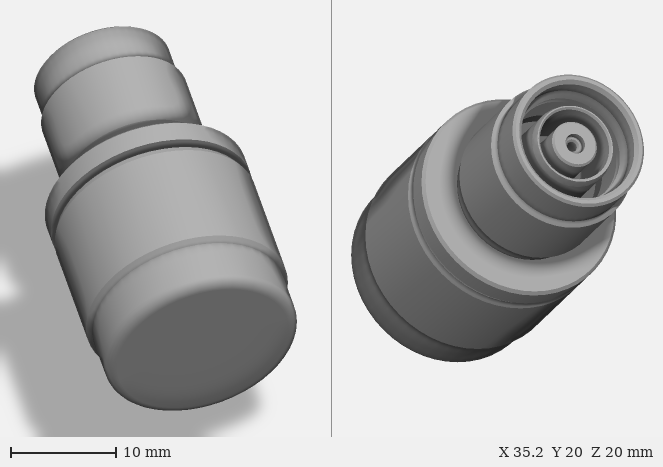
import cadquery as cq
import math


total_length = 35.2
nose_radius = 6.75
nose_chamfer = 0.25
sleeve_radius = 7.25
sleeve_start = 4.45
sleeve_end = 12.5
sleeve_chamfer = sleeve_radius - nose_radius
sleeve_lead_length = 0.4
neck_fillet = 0.85

body_radius = 10.0
flange_start = 15.05
flange_end = 17.45
flange_chamfer = 0.3
groove_radius = 8.8
body_start = 18.15
body_lead_length = 0.65
body_lead_depth = 0.3
body_end = 29.65
tail_radius = 9.55
tail_start = 30.2
tail_fillet = 1.0

socket_mouth_radius = 6.15
socket_radius = 5.8
socket_mouth_chamfer = socket_mouth_radius - socket_radius
socket_cone_start = 2.0
socket_cone_end = 2.8
socket_throat_radius = 5.3
socket_depth = 9.0
thread_groove_count = 5
thread_pitch = 0.9
thread_root_radius = 5.85

tube_front = 1.0
tube_radius = 4.07
tube_rim_radius = 3.87
tube_nose_length = 0.9
tube_bore_radius = 3.55
tube_inner_chamfer = 0.2

shoulder_front = 8.0
shoulder_chamfer = 0.2
insulator_radius = 2.3
insulator_front = tube_front
insulator_chamfer = 0.2

contact_radius = 1.0
contact_front = 1.65
contact_chamfer = 0.1
contact_hole_radius = 0.5
contact_countersink = 0.2
contact_hole_depth = 3.0
drill_tip_angle = 118


def turned(profile):
    """Revolve a closed (x, radius) profile about the X axis."""
    return profile.close().revolve(360, (0, 0, 0), (1, 0, 0))


def cylinder(start, end, radius):
    return turned(
        cq.Workplane("XY").moveTo(start, 0).lineTo(start, radius).lineTo(end, radius).lineTo(end, 0)
    )


def chamfered_cylinder(start, end, radius, chamfer):
    """Solid cylinder whose front edge has an equal-leg chamfer."""
    return turned(
        cq.Workplane("XY")
        .moveTo(start, 0)
        .lineTo(start, radius - chamfer)
        .lineTo(start + chamfer, radius)
        .lineTo(end, radius)
        .lineTo(end, 0)
    )


def countersunk_hole(start, end, radius, countersink):
    """Cutter for a hole whose mouth widens by an equal-leg countersink."""
    return turned(
        cq.Workplane("XY")
        .moveTo(start, 0)
        .lineTo(start, radius + countersink)
        .lineTo(start + countersink, radius)
        .lineTo(end, radius)
        .lineTo(end, 0)
    )


def outer_body():
    return turned(
        cq.Workplane("XY")
        .moveTo(0, 0)
        .lineTo(0, nose_radius - nose_chamfer)
        .lineTo(nose_chamfer, nose_radius)
        .lineTo(sleeve_start - sleeve_lead_length, nose_radius)
        .lineTo(sleeve_start, sleeve_radius)
        .lineTo(sleeve_end, sleeve_radius)
        .lineTo(sleeve_end + sleeve_chamfer, nose_radius)
        .lineTo(flange_start - neck_fillet, nose_radius)
        .tangentArcPoint((flange_start, nose_radius - neck_fillet), relative=False)
        .lineTo(flange_start, body_radius - flange_chamfer)
        .lineTo(flange_start + flange_chamfer, body_radius)
        .lineTo(flange_end, body_radius)
        .lineTo(flange_end, groove_radius)
        .lineTo(body_start, groove_radius)
        .lineTo(body_start, body_radius - body_lead_depth)
        .lineTo(body_start + body_lead_length, body_radius)
        .lineTo(body_end, body_radius)
        .lineTo(tail_start, tail_radius)
        .lineTo(total_length - tail_fillet, tail_radius)
        .tangentArcPoint((total_length, tail_radius - tail_fillet), relative=False)
        .lineTo(total_length, 0)
    )


def socket():
    """Cutter for the socket, with ring grooves of V section standing for its thread."""
    profile = (
        cq.Workplane("XY")
        .moveTo(0, 0)
        .lineTo(0, socket_mouth_radius)
        .lineTo(socket_mouth_chamfer, socket_radius)
        .lineTo(socket_cone_start, socket_radius)
        .lineTo(socket_cone_end, socket_throat_radius)
    )
    for groove in range(thread_groove_count):
        groove_start = socket_cone_end + groove * thread_pitch
        profile = profile.lineTo(groove_start + thread_pitch / 2, thread_root_radius)
        profile = profile.lineTo(groove_start + thread_pitch, socket_throat_radius)
    return turned(profile.lineTo(socket_depth, socket_throat_radius).lineTo(socket_depth, 0))


def contact_tube():
    tube = turned(
        cq.Workplane("XY")
        .moveTo(socket_depth, 0)
        .lineTo(socket_depth, tube_radius)
        .lineTo(tube_front + tube_nose_length, tube_radius)
        .tangentArcPoint((tube_front, tube_rim_radius), relative=False)
        .lineTo(tube_front, 0)
    )
    bore = countersunk_hole(tube_front, socket_depth, tube_bore_radius, tube_inner_chamfer)
    shoulder = chamfered_cylinder(shoulder_front, socket_depth, tube_bore_radius, shoulder_chamfer)
    return tube.cut(bore).union(shoulder)


def insulator():
    nose = chamfered_cylinder(insulator_front, socket_depth, insulator_radius, insulator_chamfer)
    well = cylinder(insulator_front, socket_depth, contact_radius)
    return nose.cut(well)


def centre_contact():
    pin = chamfered_cylinder(contact_front, socket_depth, contact_radius, contact_chamfer)
    hole_end = contact_front + contact_hole_depth
    tip_length = contact_hole_radius / math.tan(math.radians(drill_tip_angle / 2))
    hole = turned(
        cq.Workplane("XY")
        .moveTo(contact_front, 0)
        .lineTo(contact_front, contact_hole_radius + contact_countersink)
        .lineTo(contact_front + contact_countersink, contact_hole_radius)
        .lineTo(hole_end, contact_hole_radius)
        .lineTo(hole_end + tip_length, 0)
    )
    return pin.cut(hole)


result = (
    outer_body()
    .cut(socket())
    .union(contact_tube())
    .union(insulator())
    .union(centre_contact())
)